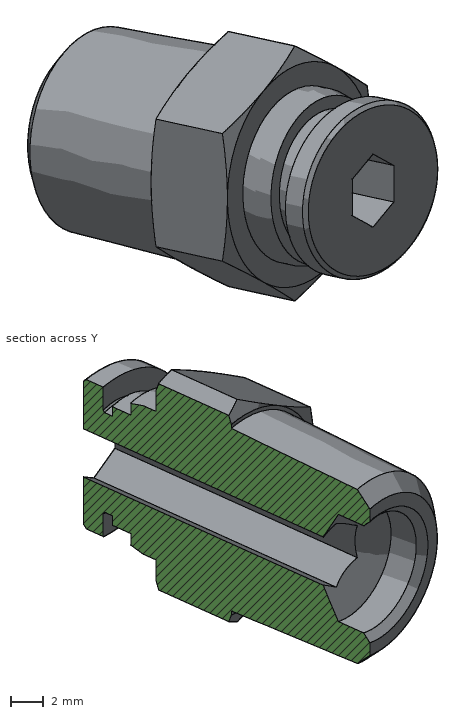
import cadquery as cq
import math

length = 22.75

thread_tip_radius = 6.42
thread_chamfer = 1.0
thread_taper_ratio = 1 / 16

hex_start = 10.99
hex_end = 17.0
hex_flats = 14.0
hex_chamfer_angle = 20.0

collar_radius = 5.5
collar_taper_start = 18.0
collar_end = 19.0
collar_end_radius = 5.25
sleeve_radius = 4.44
sleeve_end = 20.45
neck_radius = 3.78
neck_flare = 0.11

ring_start = 21.15
ring_half_width = 6.5
ring_half_height = 5.5
ring_chamfer = 0.25

bore_radius = 4.0
bore_chamfer = 0.5
bore_depth = 2.5
drill_point_angle = 118.0
passage_flats = 4.0


def flats_to_corners(flats):
    return flats / math.cos(math.radians(30))


def hex_prism(flats, start, end):
    """Hexagonal prism along X with two corners on the Z axis."""
    profile = cq.Workplane("YZ", origin=(start, 0, 0))
    profile = profile.transformed(rotate=(0, 0, 90))
    return profile.polygon(6, flats_to_corners(flats)).extrude(end - start)


def revolve_about_x(points):
    """Turn an (x, radius) profile about the X axis."""
    profile = cq.Workplane("XY").polyline(points).close()
    return profile.revolve(360, (0, 0, 0), (1, 0, 0))


def make_thread():
    taper_length = hex_start - thread_chamfer
    base_radius = thread_tip_radius + taper_length * thread_taper_ratio / 2
    return revolve_about_x([
        (0, 0),
        (0, thread_tip_radius - thread_chamfer),
        (thread_chamfer, thread_tip_radius),
        (hex_start, base_radius),
        (hex_start, 0),
    ])


def make_hexagon():
    """Wrench section whose corners are bevelled by cones at both ends."""
    flat_radius = hex_flats / 2
    corner_radius = flats_to_corners(hex_flats) / 2
    bevel_length = (corner_radius - flat_radius) * math.tan(math.radians(hex_chamfer_angle))
    bevelled_bar = revolve_about_x([
        (hex_start, 0),
        (hex_start, flat_radius),
        (hex_start + bevel_length, corner_radius),
        (hex_end - bevel_length, corner_radius),
        (hex_end, flat_radius),
        (hex_end, 0),
    ])
    return hex_prism(hex_flats, hex_start, hex_end).intersect(bevelled_bar)


def make_stepped_body():
    return revolve_about_x([
        (hex_end, 0),
        (hex_end, collar_radius),
        (collar_taper_start, collar_radius),
        (collar_end, collar_end_radius),
        (collar_end, sleeve_radius),
        (sleeve_end, sleeve_radius),
        (sleeve_end, neck_radius),
        (ring_start - neck_flare, neck_radius),
        (ring_start, neck_radius + neck_flare),
        (ring_start, 0),
    ])


def make_release_ring():
    ring = cq.Workplane("YZ", origin=(ring_start, 0, 0))
    ring = ring.ellipse(ring_half_width, ring_half_height).extrude(length - ring_start)
    return ring.faces(">X").edges().chamfer(ring_chamfer)


def make_bore():
    point_length = bore_radius / math.tan(math.radians(drill_point_angle / 2))
    return revolve_about_x([
        (0, 0),
        (0, bore_radius + bore_chamfer),
        (bore_chamfer, bore_radius),
        (bore_depth, bore_radius),
        (bore_depth + point_length, 0),
    ])


body = make_thread().union(make_hexagon()).union(make_stepped_body()).union(make_release_ring())
result = body.cut(make_bore()).cut(hex_prism(passage_flats, 0, length))